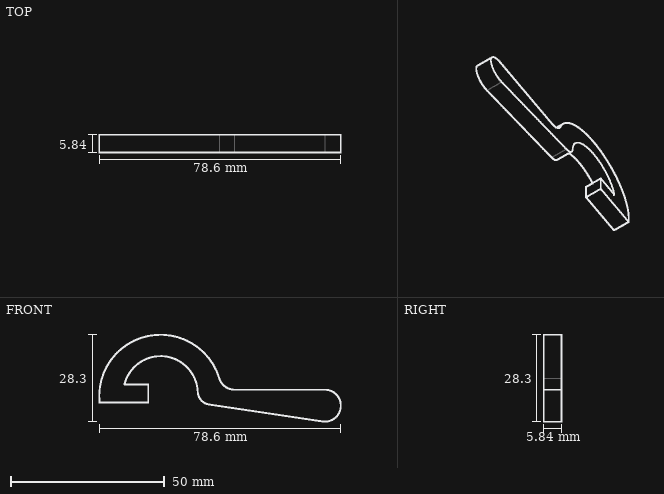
import math

import cadquery as cq

thickness = 5.84

outer_radius = 19.97
bore_radius = 12.065
bore_center_z = 0.89

toe_bottom_z = -2.15
toe_height = 5.95
toe_length = 16.05

total_length = 78.59
total_height = 28.32
tip_radius = 5.23
underside_angle = math.radians(8.5)

outer_blend_radius = 5.08
inner_blend_radius = 4.4

toe_top_z = toe_bottom_z + toe_height
toe_end_x = toe_length - outer_radius
tip_center_x = total_length - outer_radius - tip_radius
tip_center_z = outer_radius - total_height + tip_radius
handle_top_z = tip_center_z + tip_radius


def half_chord(radius, offset):
    """Half the chord length of a circle at a given distance from its centre."""
    return math.sqrt(radius**2 - offset**2)


def bore_underside_corner():
    """Point where the handle's underside line meets the right side of the bore."""
    along_x, along_z = math.cos(underside_angle), -math.sin(underside_angle)
    normal_x, normal_z = math.sin(underside_angle), math.cos(underside_angle)
    tip_offset = tip_center_x * normal_x + (tip_center_z - bore_center_z) * normal_z
    line_offset = tip_offset - tip_radius
    reach = half_chord(bore_radius, line_offset)
    corner_x = line_offset * normal_x + reach * along_x
    corner_z = bore_center_z + line_offset * normal_z + reach * along_z
    return corner_x, corner_z


def build_profile(outer_corner, inner_corner):
    """Extruded outline with the two handle-to-hook corners still sharp."""
    outer_foot = (-half_chord(outer_radius, toe_bottom_z), toe_bottom_z)
    toe_root = (-half_chord(bore_radius, toe_top_z - bore_center_z), toe_top_z)
    tip_underside = (
        tip_center_x - tip_radius * math.sin(underside_angle),
        tip_center_z - tip_radius * math.cos(underside_angle),
    )
    return (
        cq.Workplane("XZ")
        .moveTo(*outer_foot)
        .threePointArc((0, outer_radius), outer_corner)
        .lineTo(tip_center_x, handle_top_z)
        .threePointArc((tip_center_x + tip_radius, tip_center_z), tip_underside)
        .lineTo(*inner_corner)
        .threePointArc((0, bore_center_z + bore_radius), toe_root)
        .lineTo(toe_end_x, toe_top_z)
        .lineTo(toe_end_x, toe_bottom_z)
        .close()
        .extrude(thickness / 2, both=True)
    )


def blend_corner(body, corner, blend_radius):
    """Round the through-thickness edge at an (x, z) corner."""
    corner_x, corner_z = corner
    edge = cq.selectors.NearestToPointSelector((corner_x, 0, corner_z))
    return body.edges("|Y").edges(edge).fillet(blend_radius)


outer_corner = (half_chord(outer_radius, handle_top_z), handle_top_z)
inner_corner = bore_underside_corner()

result = build_profile(outer_corner, inner_corner)
result = blend_corner(result, outer_corner, outer_blend_radius)
result = blend_corner(result, inner_corner, inner_blend_radius)